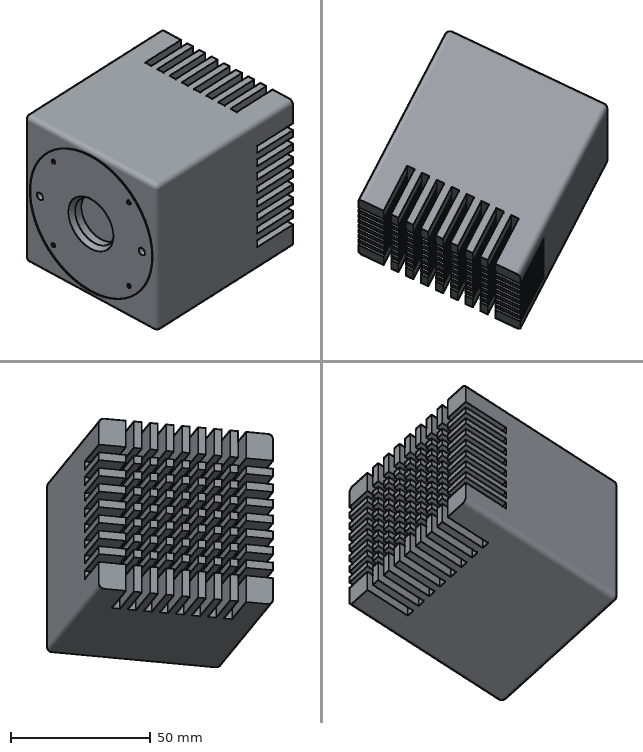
import cadquery as cq

width = 65.0
length = 72.0
edge_radius = 2.0
front_y = -length / 2
back_y = length / 2

slot_count = 8
slot_width = 3.0
slot_pitch = 6.0
slot_depth = 19.0

aperture_diameter = 19.2
aperture_mouth_diameter = 22.0
aperture_mouth_depth = 2.0
aperture_depth = 5.3

flange_diameter = 59.9
flange_gap = 0.1
flange_gap_depth = 0.35

pin_hole_diameter = 3.0
pin_hole_offset = 25.0
pin_hole_depth = 5.0
socket_flats = 1.5
socket_offset = 18.5
socket_depth = 2.0


def front_cylinder(diameter, depth, x=0):
    """Cylinder running from the front face into the block, at mid height."""
    return cq.Workplane("XZ", origin=(x, front_y, 0)).circle(diameter / 2).extrude(-depth)


def make_housing():
    """Block with a plain back and every other edge rounded."""
    block = cq.Workplane("XY").box(width, length, width)
    return block.edges("|Y or <Y").fillet(edge_radius)


def cut_slots(body):
    """Cut slots through the back in both directions, leaving a grid of pins."""
    slot_y = back_y - slot_depth / 2
    for index in range(slot_count):
        offset = (index - (slot_count - 1) / 2) * slot_pitch
        upright = cq.Workplane("XY").box(slot_width, slot_depth, width).translate((offset, slot_y, 0))
        level = cq.Workplane("XY").box(width, slot_depth, slot_width).translate((0, slot_y, offset))
        body = body.cut(upright).cut(level)
    return body


def make_aperture():
    """Blind round opening with a tapered mouth."""
    mouth = cq.Solid.makeCone(
        aperture_mouth_diameter / 2,
        aperture_diameter / 2,
        aperture_mouth_depth,
        cq.Vector(0, front_y, 0),
        cq.Vector(0, 1, 0),
    )
    return front_cylinder(aperture_diameter, aperture_depth).union(cq.Workplane(mouth))


def make_flange_gap():
    """Fine ring groove around the flange."""
    outer = front_cylinder(flange_diameter + 2 * flange_gap, flange_gap_depth)
    return outer.cut(front_cylinder(flange_diameter, flange_gap_depth))


def cut_pin_holes(body):
    """Cut a blind pin hole on either side of the aperture."""
    for side in (-1, 1):
        body = body.cut(front_cylinder(pin_hole_diameter, pin_hole_depth, side * pin_hole_offset))
    return body


def cut_screw_sockets(body):
    """Cut four hexagonal screw sockets, each turned a quarter turn from the one before."""
    first_socket = (
        cq.Workplane("XZ", origin=(-socket_offset, front_y, socket_offset))
        .polygon(6, socket_flats, circumscribed=True)
        .extrude(-socket_depth)
    )
    for index in range(4):
        body = body.cut(first_socket.rotate((0, 0, 0), (0, 1, 0), index * 90))
    return body


result = make_housing()
result = cut_slots(result)
result = result.cut(make_aperture())
result = result.cut(make_flange_gap())
result = cut_pin_holes(result)
result = cut_screw_sockets(result)